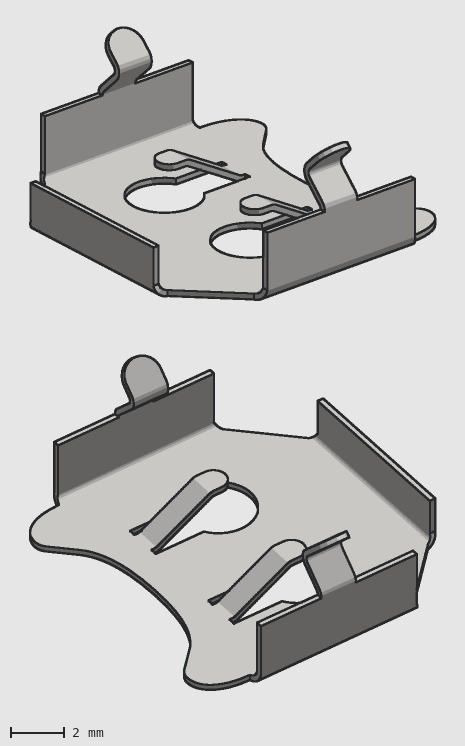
import cadquery as cq
import math

WIDTH = 13.21
SHEET = 0.25
INNER_RADIUS = 0.25
OUTER_RADIUS = INNER_RADIUS + SHEET
MID_RADIUS = INNER_RADIUS + SHEET / 2

WALL_LENGTH = 7.17
SIDE_WALL_HEIGHT = 2.89
FRONT_WALL_HEIGHT = 2.09
FRONT_FLARE = 0.22
BACK_FLARE = 0.13

FLAT_EDGE = WIDTH / 2 - OUTER_RADIUS
CORNER_EDGE = WALL_LENGTH / 2 + FRONT_FLARE
LOBE_START = WALL_LENGTH / 2 + BACK_FLARE

LOBE_PEAK_X = 4.87
LOBE_PEAK_Y = 5.72
LOBE_RADIUS = 0.66
LOBE_SLOPE = 45.0
LOBE_SIDE_PULL = 1.3
LOBE_TOP_PULL = 0.69
DISH_Y = 3.73
DISH_START_X = 3.51

TONGUE_X = 2.5
TONGUE_WIDTH = 1.08
TONGUE_ANGLE = 30.0
TONGUE_SLOPE = 2.75
TONGUE_END_Y = -1.32
SLOT_WIDTH = 1.64
SLOT_END_Y = 2.46
TONGUE_ROOT_Y = 2.32
HOLE_RADIUS = 1.49
HOLE_Y = -1.0

CLIP_WIDTH = 1.59
CLIP_ANGLE = 45.0
CLIP_LOWER_ARM = 1.05
CLIP_UPPER_ARM = 1.24


def make_base():
    """Flat plate with cut front corners and the lobed back edge."""
    slope = math.radians(LOBE_SLOPE)
    diagonal = LOBE_RADIUS * math.sin(slope)
    lobe_mid_x = LOBE_RADIUS * math.sin(slope / 2)
    lobe_mid_y = LOBE_RADIUS * math.cos(slope / 2)
    centre_y = LOBE_PEAK_Y - LOBE_RADIUS
    lobe_end = (LOBE_PEAK_X - diagonal, centre_y + diagonal)
    dish_start = (DISH_START_X, lobe_end[1] - (lobe_end[0] - DISH_START_X))
    dish_control = (DISH_START_X - (dish_start[1] - DISH_Y), DISH_Y)
    half = (
        cq.Workplane("XY")
        .moveTo(0, -FLAT_EDGE)
        .lineTo(CORNER_EDGE, -FLAT_EDGE)
        .lineTo(FLAT_EDGE, -CORNER_EDGE)
        .lineTo(FLAT_EDGE, LOBE_START)
        .bezier([
            (FLAT_EDGE, LOBE_START),
            (FLAT_EDGE, LOBE_START + LOBE_SIDE_PULL),
            (LOBE_PEAK_X + LOBE_TOP_PULL, LOBE_PEAK_Y),
            (LOBE_PEAK_X, LOBE_PEAK_Y),
        ])
        .threePointArc((LOBE_PEAK_X - lobe_mid_x, centre_y + lobe_mid_y), lobe_end)
        .lineTo(*dish_start)
        .bezier([dish_start, dish_control, (0, DISH_Y)])
        .close()
        .extrude(SHEET)
    )
    return half.union(half.mirror("YZ"))


def make_wall(height, low_flare, high_flare):
    """Wall along Y, bent up from a bend line at X = FLAT_EDGE."""
    floor_length = WALL_LENGTH + low_flare + high_flare
    floor_middle = (high_flare - low_flare) / 2
    halfway = MID_RADIUS / math.sqrt(2)
    bend_path = (
        cq.Workplane("XZ")
        .moveTo(FLAT_EDGE, SHEET / 2)
        .threePointArc(
            (FLAT_EDGE + halfway, OUTER_RADIUS - halfway),
            (FLAT_EDGE + MID_RADIUS, OUTER_RADIUS),
        )
    )
    floor_section = cq.Plane((FLAT_EDGE, floor_middle, SHEET / 2), (0, 1, 0), (1, 0, 0))
    wall_section = cq.Plane((FLAT_EDGE + MID_RADIUS, 0, OUTER_RADIUS), (0, 1, 0), (0, 0, 1))
    bend = (
        cq.Workplane(floor_section)
        .rect(floor_length, SHEET)
        .add(cq.Workplane(wall_section).rect(WALL_LENGTH, SHEET))
        .toPending()
        .sweep(bend_path, multisection=True)
    )
    upright = cq.Workplane(wall_section).rect(WALL_LENGTH, SHEET).extrude(height - OUTER_RADIUS)
    return bend.union(upright)


def round_ended_strip(plane, length, width):
    """Flat strip along the plane's local X, centred on its mid-surface, with a full round end."""
    radius = width / 2
    return (
        cq.Workplane(plane)
        .moveTo(0, -radius)
        .lineTo(length - radius, -radius)
        .threePointArc((length, 0), (length - radius, radius))
        .lineTo(0, radius)
        .close()
        .extrude(SHEET / 2, both=True)
    )


def make_clip():
    """Spring clip rising from the wall at +X, leaning inwards and then back outwards."""
    angle = math.radians(CLIP_ANGLE)
    bend_x = MID_RADIUS * (1 - math.cos(angle))
    bend_z = MID_RADIUS * math.sin(angle)
    half_x = MID_RADIUS * (1 - math.cos(angle / 2))
    half_z = MID_RADIUS * math.sin(angle / 2)
    wall_x = WIDTH / 2 - SHEET / 2
    arm_start = (wall_x - bend_x, SIDE_WALL_HEIGHT + bend_z)
    arm_end = (
        arm_start[0] - CLIP_LOWER_ARM * math.sin(angle),
        arm_start[1] + CLIP_LOWER_ARM * math.cos(angle),
    )
    knee = (arm_end[0] - bend_x, arm_end[1] + bend_z)
    knee_end = (arm_end[0], knee[1] + bend_z)
    path = (
        cq.Workplane("XZ")
        .moveTo(wall_x, SIDE_WALL_HEIGHT)
        .threePointArc((wall_x - half_x, SIDE_WALL_HEIGHT + half_z), arm_start)
        .lineTo(*arm_end)
        .threePointArc(knee, knee_end)
    )
    root = cq.Workplane("XY", origin=(wall_x, 0, SIDE_WALL_HEIGHT))
    spring = root.rect(SHEET, CLIP_WIDTH).sweep(path)
    tip_plane = cq.Plane(
        (knee_end[0], 0, knee_end[1]),
        (math.sin(angle), 0, math.cos(angle)),
        (-math.cos(angle), 0, math.sin(angle)),
    )
    return spring.union(round_ended_strip(tip_plane, CLIP_UPPER_ARM, CLIP_WIDTH))


def make_keyhole(x):
    """Round opening with a slot running back from it."""
    hole = cq.Workplane("XY").center(x, HOLE_Y).circle(HOLE_RADIUS).extrude(SHEET)
    slot_length = SLOT_END_Y - HOLE_Y
    slot_middle = HOLE_Y + slot_length / 2
    slot = cq.Workplane("XY").center(x, slot_middle).rect(SLOT_WIDTH, slot_length).extrude(SHEET)
    return hole.union(slot)


def make_tongue(x):
    """Tongue that bends up out of the base, slopes forward and ends in a raised flat tip."""
    angle = math.radians(TONGUE_ANGLE)
    bend_y = MID_RADIUS * math.sin(angle)
    bend_z = MID_RADIUS * (1 - math.cos(angle))
    half_y = MID_RADIUS * math.sin(angle / 2)
    half_z = MID_RADIUS * (1 - math.cos(angle / 2))
    floor_z = SHEET / 2
    slope_start = (TONGUE_ROOT_Y - bend_y, floor_z + bend_z)
    slope_end = (
        slope_start[0] - TONGUE_SLOPE * math.cos(angle),
        slope_start[1] + TONGUE_SLOPE * math.sin(angle),
    )
    flat_start = (slope_end[0] - bend_y, slope_end[1] + bend_z)
    path = (
        cq.Workplane("YZ", origin=(x, 0, 0))
        .moveTo(SLOT_END_Y, floor_z)
        .lineTo(TONGUE_ROOT_Y, floor_z)
        .threePointArc((TONGUE_ROOT_Y - half_y, floor_z + half_z), slope_start)
        .lineTo(*slope_end)
        .threePointArc((flat_start[0] + half_y, flat_start[1] - half_z), flat_start)
    )
    root = cq.Workplane("XZ", origin=(x, SLOT_END_Y, floor_z))
    ramp = root.rect(TONGUE_WIDTH, SHEET).sweep(path)
    tip_plane = cq.Plane((x, flat_start[0], flat_start[1]), (0, -1, 0), (0, 0, 1))
    tip_length = flat_start[0] - TONGUE_END_Y
    return ramp.union(round_ended_strip(tip_plane, tip_length, TONGUE_WIDTH))


side = make_wall(SIDE_WALL_HEIGHT, FRONT_FLARE, BACK_FLARE).union(make_clip())
front_wall = make_wall(FRONT_WALL_HEIGHT, FRONT_FLARE, FRONT_FLARE).rotate((0, 0, 0), (0, 0, 1), -90)

result = make_base().union(side).union(side.mirror("YZ")).union(front_wall)
for tongue_x in (-TONGUE_X, TONGUE_X):
    result = result.cut(make_keyhole(tongue_x)).union(make_tongue(tongue_x))